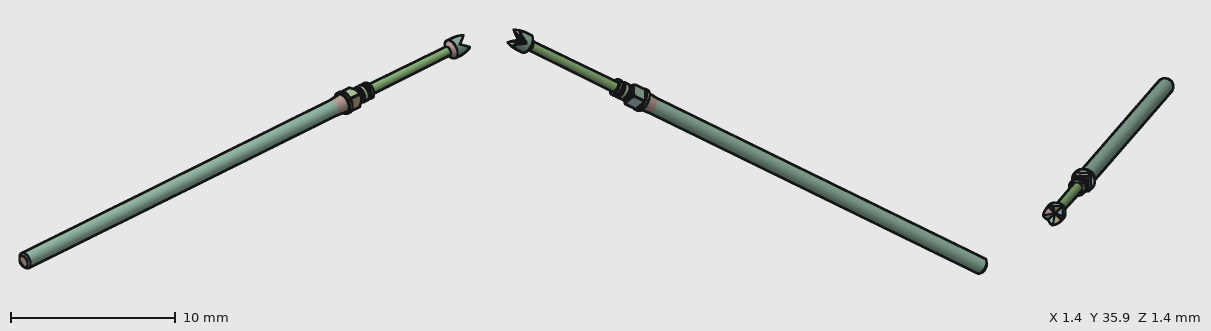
import cadquery as cq
import math

OVERALL_LENGTH = 35.9
TIP_Y = OVERALL_LENGTH / 2

HEAD_DIAMETER = 1.2
HEAD_END = 1.02
CROWN_DEPTH = 0.68
TOOTH_COUNT = 4
NECK_END = 1.3

SHAFT_DIAMETER = 0.6
FLARE_DIAMETER = 0.665

BARREL_START = 7.75
BARREL_DIAMETER = 1.02
GROOVE_DEPTH = 0.06
GROOVE_WIDTH = 0.22
GROOVE_STARTS = (7.95, 8.49)
SQUARE_START = 8.8
SQUARE_WIDTH = 0.97
SQUARE_CORNER_DIAMETER = 1.33
SQUARE_LEAD_LENGTH = 0.1

COLLAR_START = 9.68
COLLAR_END = 9.88
COLLAR_DIAMETER = 1.4
SEAT_DIAMETER = 1.16
SEAT_END = 10.65
TAIL_CHAMFER = 0.13


def cylinder(diameter, start, end):
    """Cylinder on the probe axis between two stations."""
    return cq.Workplane("XZ", origin=(0, TIP_Y - start, 0)).circle(diameter / 2).extrude(end - start)


def revolved(profile):
    """Body of revolution about the probe axis from a closed half profile in XY."""
    return profile.close().revolve(360, (0, 0, 0), (0, 1, 0))


def cone(start_diameter, end_diameter, start, end):
    """Truncated cone on the probe axis between two stations."""
    return revolved(
        cq.Workplane("XY")
        .moveTo(0, TIP_Y - start)
        .lineTo(start_diameter / 2, TIP_Y - start)
        .lineTo(end_diameter / 2, TIP_Y - end)
        .lineTo(0, TIP_Y - end)
    )


def crown_head():
    """Cylindrical head with crossed V notches that leave pointed teeth on the X and Z axes."""
    head = cylinder(HEAD_DIAMETER, 0, HEAD_END)
    half_opening = HEAD_DIAMETER / 2 * math.sin(math.pi / TOOTH_COUNT)
    notch = (
        cq.Workplane("XY")
        .moveTo(-half_opening, TIP_Y)
        .lineTo(0, TIP_Y - CROWN_DEPTH)
        .lineTo(half_opening, TIP_Y)
        .close()
        .extrude(HEAD_DIAMETER, both=True)
    )
    for index in range(TOOTH_COUNT // 2):
        angle = 360 / TOOTH_COUNT * (index + 0.5)
        head = head.cut(notch.rotate((0, 0, 0), (0, 1, 0), angle))
    return head


def plunger():
    """Conical neck behind the head and the slightly flared shaft."""
    neck = cone(HEAD_DIAMETER, SHAFT_DIAMETER, HEAD_END, NECK_END)
    flare = cone(SHAFT_DIAMETER, FLARE_DIAMETER, NECK_END, BARREL_START)
    return neck.union(flare)


def v_groove(start):
    """Ring with a triangular section that cuts a V groove into the barrel nose."""
    radius = BARREL_DIAMETER / 2
    return revolved(
        cq.Workplane("XY")
        .moveTo(radius, TIP_Y - start)
        .lineTo(radius - GROOVE_DEPTH, TIP_Y - start - GROOVE_WIDTH / 2)
        .lineTo(radius, TIP_Y - start - GROOVE_WIDTH)
    )


def barrel_front():
    """Grooved nose and the square shank, whose corners are rounded and bevelled at the front."""
    nose = cylinder(BARREL_DIAMETER, BARREL_START, SQUARE_START)
    for start in GROOVE_STARTS:
        nose = nose.cut(v_groove(start))
    lead_end = SQUARE_START + SQUARE_LEAD_LENGTH
    lead = cone(BARREL_DIAMETER, SQUARE_CORNER_DIAMETER, SQUARE_START, lead_end)
    corner_envelope = lead.union(cylinder(SQUARE_CORNER_DIAMETER, lead_end, COLLAR_START))
    shank = (
        cq.Workplane("XZ", origin=(0, TIP_Y - SQUARE_START, 0))
        .rect(SQUARE_WIDTH, SQUARE_WIDTH)
        .extrude(COLLAR_START - SQUARE_START)
        .intersect(corner_envelope)
    )
    return nose.union(shank)


def tube():
    """Collar, conical press seat and the long tube with a chamfered tail."""
    collar = cylinder(COLLAR_DIAMETER, COLLAR_START, COLLAR_END)
    seat = cone(SEAT_DIAMETER, BARREL_DIAMETER, COLLAR_END, SEAT_END)
    tail = cylinder(BARREL_DIAMETER, SEAT_END, OVERALL_LENGTH).faces("<Y").chamfer(TAIL_CHAMFER)
    return collar.union(seat).union(tail)


result = crown_head().union(plunger()).union(barrel_front()).union(tube())